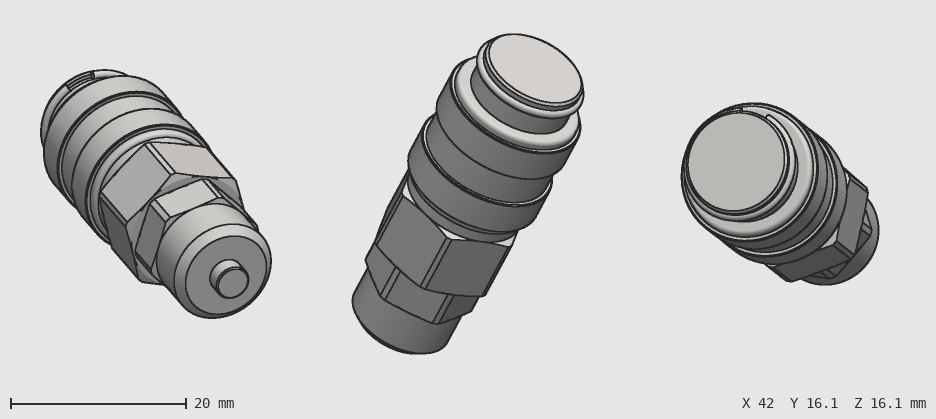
import cadquery as cq
import math


sleeve_start = 4.58
sleeve_end = 19.05
large_hex_start = 20.6
large_hex_end = 28.9
small_hex_end = 33.8
shank_end = 39.95
overall_length = 42.0

nose_diameter = 12.0
sleeve_diameter = 15.1
band_diameter = 16.15
neck_diameter = 14.0
shank_diameter = 12.0
stem_diameter = 4.0

nose_chamfer = 0.3
sleeve_fillet = 0.5
band_chamfer = 0.13
shank_chamfer = 1.0
stem_chamfer = 0.15

band_starts = (5.63, 13.85)
band_width = 4.2

large_hex_flats = 14.0
large_hex_corners = 15.8
large_hex_tilt = 17.4
small_hex_flats = 12.0
small_hex_corners = 13.45
small_hex_tilt = -12.4
large_hex_chamfer = 0.3
small_hex_chamfer = 0.13
hex_sides = 6

wire_diameter = 1.0
groove_diameter = 11.15
groove_start = 0.92
groove_width = 1.15
ring_gap_angle = 30.0
ring_gap_middle = 107.0

ring_radius = (groove_diameter + wire_diameter) / 2
ring_center = groove_start + wire_diameter / 2


def cylinder(start, end, diameter):
    """A cylinder on the X axis between two stations."""
    return cq.Workplane("YZ", origin=(start, 0, 0)).circle(diameter / 2).extrude(end - start)


def hexagon(start, end, flats, corners, tilt, chamfer):
    """A hexagonal prism with rounded corners, both ends coned down to the flats."""
    point_diameter = flats / math.cos(math.pi / hex_sides)
    prism = (
        cq.Workplane("YZ", origin=(start, 0, 0))
        .polygon(hex_sides, point_diameter)
        .extrude(end - start)
        .rotate((0, 0, 0), (1, 0, 0), -tilt)
    )
    envelope = (
        cq.Workplane("XY")
        .moveTo(start, 0)
        .lineTo(start, flats / 2)
        .lineTo(start + chamfer, corners / 2)
        .lineTo(end - chamfer, corners / 2)
        .lineTo(end, flats / 2)
        .lineTo(end, 0)
        .close()
        .revolve(360, (0, 0, 0), (1, 0, 0))
    )
    return prism.intersect(envelope)


def make_ring_groove():
    """The tube of material to remove around the groove floor."""
    groove_end = groove_start + groove_width
    outside = cylinder(groove_start, groove_end, band_diameter)
    return outside.cut(cylinder(groove_start, groove_end, groove_diameter))


def make_coupling():
    """Nose, banded sleeve, neck, two hexagons, shank and stem joined into one solid."""
    nose = cylinder(0, sleeve_start, nose_diameter).faces("<X").chamfer(nose_chamfer)
    sleeve = cylinder(sleeve_start, sleeve_end, sleeve_diameter).edges().fillet(sleeve_fillet)
    neck = cylinder(sleeve_end, large_hex_start, neck_diameter)
    large_hex = hexagon(
        large_hex_start, large_hex_end, large_hex_flats, large_hex_corners, large_hex_tilt, large_hex_chamfer
    )
    small_hex = hexagon(
        large_hex_end, small_hex_end, small_hex_flats, small_hex_corners, small_hex_tilt, small_hex_chamfer
    )
    shank = cylinder(small_hex_end, shank_end, shank_diameter).faces(">X").chamfer(shank_chamfer)
    stem = cylinder(shank_end, overall_length, stem_diameter).faces(">X").chamfer(stem_chamfer)

    coupling = nose.union(sleeve)
    for start in band_starts:
        band = cylinder(start, start + band_width, band_diameter).edges().chamfer(band_chamfer)
        coupling = coupling.union(band)
    for section in (neck, large_hex, small_hex, shank, stem):
        coupling = coupling.union(section)
    return coupling.cut(make_ring_groove()).solids()


def make_snap_ring():
    """Round wire swept about the X axis, leaving a gap on the upper -Y side."""
    return (
        cq.Workplane("XY")
        .center(ring_center, ring_radius)
        .circle(wire_diameter / 2)
        .revolve(360 - ring_gap_angle, (0, -ring_radius, 0), (1, -ring_radius, 0))
        .rotate((0, 0, 0), (1, 0, 0), ring_gap_middle + ring_gap_angle / 2)
    )


coupling = make_coupling()
snap_ring = make_snap_ring()

result = cq.Compound.makeCompound([coupling.val(), snap_ring.val()])